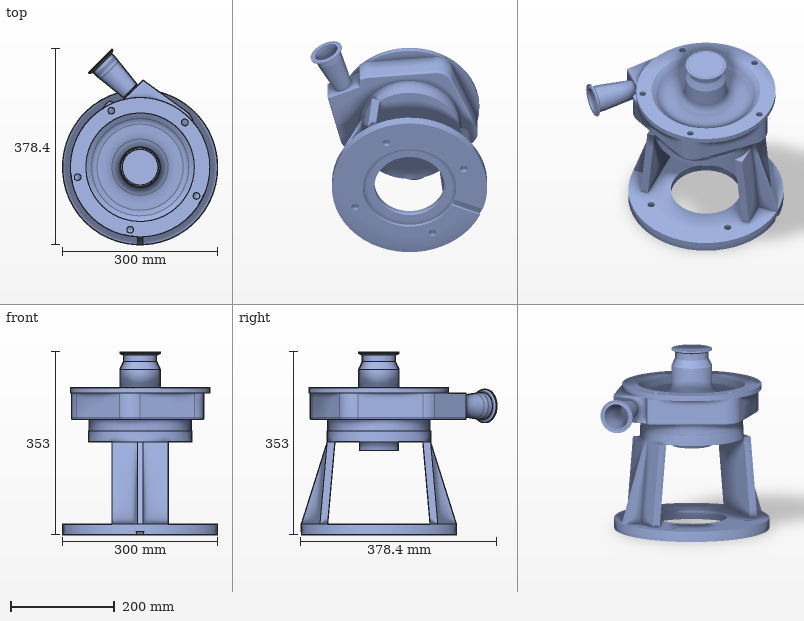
import cadquery as cq
import math

BASE_TOP = 20.5
HUB_BOTTOM = 162.7
RING_BOTTOM = 179.5
COLLAR_BOTTOM = 200.0
HOUSING_BOTTOM = 222.5
FLANGE_BOTTOM = 274.0
FLANGE_TOP = 284.0
INLET_SHOULDER = 319.7
INLET_NECK_BOTTOM = 335.0
INLET_TOP = 353.0

BASE_DIAMETER = 300.0
BASE_RADIUS = BASE_DIAMETER / 2
BASE_BORE_RADIUS = 67.7
BASE_HOLE_CIRCLE = 114.0
BASE_HOLE_RADIUS = 7.0
BASE_HOLE_COUNT = 4
BASE_HOLE_START_ANGLE = 45
RECESS_RADIUS = 90.0
RECESS_DEPTH = 6.5
NOTCH_WIDTH = 14.0

LEG_WIDTH = 109.0
LEG_THICKNESS = 15.0
LEG_TOP_REACH = 100.0
LEG_FOOT_REACH = 114.0
RIB_WIDTH = 11.0

HUB_RADIUS = 38.0
RING_RADIUS = 100.3
COLLAR_RADIUS = 99.0
FLANGE_RADIUS = 134.7
FLANGE_HOLE_CIRCLE = 122.2
FLANGE_HOLE_RADIUS = 6.5
FLANGE_HOLE_COUNT = 5
FLANGE_HOLE_START_ANGLE = 45

DISH_RADIUS = 104.8
DISH_DEPTH = 15.5
DISH_FILLET = 15.0
DISH_FLOOR_RADIUS = 83.2
DISH_WALL_ANGLE = 45

PENTAGON_APOTHEM = 115.0
PENTAGON_START_ANGLE = 9
PENTAGON_STEP_ANGLE = 72
CORNER_FILLET = 33.5
HOUSING_EDGE_FILLET = 3.8
SHOULDER_ANGLE = 54
SHOULDER_OFFSET = 139.5
LIP_ANGLE = 126
LIP_OFFSET = 138.0
LIP_END_ANGLE = 72
LIP_END_OFFSET = 103.3
OUTLET_ANGLE = 135

CLAMP_RIM = 2.5
CLAMP_BACK = 5.0
CLAMP_LENGTH = 6.0
CLAMP_BACK_STEP = 2.0
GROOVE_RADIUS = 1.32
GROOVE_INSET = 3.5

INLET_DIAMETER = 78.5
INLET_RADIUS = INLET_DIAMETER / 2
INLET_NECK_RADIUS = 32.0
INLET_ROOT_FILLET = 15.0

OUTLET_SIDE_OFFSET = 90.8
OUTLET_HEIGHT = 249.0
OUTLET_FACE_DISTANCE = 199.8
OUTLET_CLAMP_DIAMETER = 64.7
OUTLET_CLAMP_RADIUS = OUTLET_CLAMP_DIAMETER / 2
OUTLET_NECK_RADIUS = 25.7
OUTLET_NECK_LENGTH = 17.8
OUTLET_CONE_END = 82.0
OUTLET_END_RADIUS = 18.5
OUTLET_SPIGOT_RADIUS = 17.5
OUTLET_BORE_RADIUS = 24.2
OUTLET_BORE_STRAIGHT = 14.5
OUTLET_BORE_STEP_RADIUS = 23.0
OUTLET_BORE_CONE_START = 26.0
OUTLET_BORE_END_RADIUS = 16.3


def disc(radius, bottom, top):
    return cq.Workplane("XY").workplane(offset=bottom).circle(radius).extrude(top - bottom)


def line_crossing(first, second):
    """Crossing of two plan lines, each given as (normal angle in degrees, distance from the axis)."""
    a1, d1 = math.radians(first[0]), first[1]
    a2, d2 = math.radians(second[0]), second[1]
    det = math.sin(a2 - a1)
    x = (d1 * math.sin(a2) - d2 * math.sin(a1)) / det
    y = (d2 * math.cos(a1) - d1 * math.cos(a2)) / det
    return (x, y)


def base_plate():
    plate = disc(BASE_RADIUS, 0, BASE_TOP).cut(disc(BASE_BORE_RADIUS, 0, BASE_TOP))
    holes = (
        cq.Workplane("XY")
        .polarArray(BASE_HOLE_CIRCLE, BASE_HOLE_START_ANGLE, 360, BASE_HOLE_COUNT)
        .circle(BASE_HOLE_RADIUS)
        .extrude(BASE_TOP)
    )
    recess = disc(RECESS_RADIUS, 0, RECESS_DEPTH)
    notch = cq.Workplane("XY").box(
        NOTCH_WIDTH, BASE_RADIUS, RECESS_DEPTH, centered=(True, False, False)
    )
    return plate.cut(holes).cut(recess).cut(notch.translate((0, -BASE_RADIUS, 0)))


def leg():
    plate_section = [
        (LEG_FOOT_REACH - LEG_THICKNESS, BASE_TOP),
        (LEG_FOOT_REACH, BASE_TOP),
        (LEG_TOP_REACH, RING_BOTTOM),
        (LEG_TOP_REACH - LEG_THICKNESS, RING_BOTTOM),
    ]
    rib_section = [
        (LEG_FOOT_REACH - LEG_THICKNESS, BASE_TOP),
        (BASE_RADIUS, BASE_TOP),
        (LEG_TOP_REACH, RING_BOTTOM),
        (LEG_TOP_REACH - LEG_THICKNESS, RING_BOTTOM),
    ]
    plate = cq.Workplane("YZ").polyline(plate_section).close().extrude(LEG_WIDTH / 2, both=True)
    rib = cq.Workplane("YZ").polyline(rib_section).close().extrude(RIB_WIDTH / 2, both=True)
    return plate.union(rib)


def housing():
    east, west, southwest, southeast = (
        (PENTAGON_START_ANGLE + step * PENTAGON_STEP_ANGLE, PENTAGON_APOTHEM) for step in (0, 2, 3, 4)
    )
    shoulder = (SHOULDER_ANGLE, SHOULDER_OFFSET)
    outlet_face = (OUTLET_ANGLE, PENTAGON_APOTHEM)
    lip_end = (LIP_END_ANGLE, LIP_END_OFFSET)
    lip = (LIP_ANGLE, LIP_OFFSET)
    sides = [east, shoulder, outlet_face, lip_end, lip, west, southwest, southeast]
    next_sides = sides[1:] + sides[:1]
    corners = [line_crossing(side, next_side) for side, next_side in zip(sides, next_sides)]
    round_corners = [
        line_crossing(east, shoulder),
        line_crossing(lip, west),
        line_crossing(west, southwest),
        line_crossing(southwest, southeast),
        line_crossing(southeast, east),
    ]

    middle = (HOUSING_BOTTOM + FLANGE_BOTTOM) / 2
    body = (
        cq.Workplane("XY")
        .workplane(offset=HOUSING_BOTTOM)
        .polyline(corners)
        .close()
        .extrude(FLANGE_BOTTOM - HOUSING_BOTTOM)
    )
    for corner in round_corners:
        upright_edge = cq.selectors.NearestToPointSelector((*corner, middle))
        body = body.edges(upright_edge).fillet(CORNER_FILLET)

    face_start = line_crossing(shoulder, outlet_face)
    face_end = line_crossing(outlet_face, lip_end)
    face_middle = [(a + b) / 2 for a, b in zip(face_start, face_end)]
    outlet_edge = cq.selectors.NearestToPointSelector((*face_middle, HOUSING_BOTTOM))
    lower_edges = cq.selectors.StringSyntaxSelector("<Z")
    rounded_edges = cq.selectors.SubtractSelector(lower_edges, outlet_edge)
    return body.edges(rounded_edges).fillet(HOUSING_EDGE_FILLET)


def flange_ring():
    flange = disc(FLANGE_RADIUS, FLANGE_BOTTOM, FLANGE_TOP)
    holes = (
        cq.Workplane("XY")
        .workplane(offset=FLANGE_BOTTOM)
        .polarArray(FLANGE_HOLE_CIRCLE, FLANGE_HOLE_START_ANGLE, 360, FLANGE_HOLE_COUNT)
        .circle(FLANGE_HOLE_RADIUS)
        .extrude(FLANGE_TOP - FLANGE_BOTTOM)
    )
    return flange.cut(holes)


def dish():
    """Space removed around the inlet: sloping wall, rounded floor and rounded inlet root."""
    floor = FLANGE_TOP - DISH_DEPTH
    wall = math.radians(DISH_WALL_ANGLE)
    root_radius = INLET_RADIUS + INLET_ROOT_FILLET

    def floor_round(angle):
        return (
            DISH_FLOOR_RADIUS + DISH_FILLET * math.sin(angle),
            floor + DISH_FILLET * (1 - math.cos(angle)),
        )

    root_inset = INLET_ROOT_FILLET * math.sqrt(0.5)
    root_middle = (root_radius - root_inset, floor + INLET_ROOT_FILLET - root_inset)
    return (
        cq.Workplane("XZ")
        .moveTo(INLET_RADIUS, FLANGE_TOP)
        .lineTo(INLET_RADIUS, floor + INLET_ROOT_FILLET)
        .threePointArc(root_middle, (root_radius, floor))
        .lineTo(DISH_FLOOR_RADIUS, floor)
        .threePointArc(floor_round(wall / 2), floor_round(wall))
        .lineTo(DISH_RADIUS, FLANGE_TOP)
        .close()
        .revolve(360, (0, 0, 0), (0, 1, 0))
    )


def clamped_pipe(clamp_radius, neck_radius, body_profile):
    """Solid pipe along -Z from its clamp face at z = 0.

    body_profile continues the outline beyond the clamp as (radius, z) points.
    """
    back_radius = neck_radius + CLAMP_BACK_STEP
    profile = [
        (0, 0),
        (clamp_radius, 0),
        (clamp_radius, -CLAMP_RIM),
        (back_radius, -CLAMP_BACK),
        (neck_radius, -CLAMP_LENGTH),
        *body_profile,
        (0, body_profile[-1][1]),
    ]
    pipe = cq.Workplane("XZ").polyline(profile).close().revolve(360, (0, 0, 0), (0, 1, 0))
    groove = cq.Workplane("XY").add(
        cq.Solid.makeTorus(clamp_radius - GROOVE_INSET, GROOVE_RADIUS)
    )
    return pipe.cut(groove)


def inlet():
    shoulder = INLET_SHOULDER - INLET_TOP
    body_profile = [
        (INLET_NECK_RADIUS, INLET_NECK_BOTTOM - INLET_TOP),
        (INLET_RADIUS, shoulder),
        (INLET_RADIUS, FLANGE_TOP - DISH_DEPTH - INLET_TOP),
    ]
    pipe = clamped_pipe(INLET_RADIUS, INLET_NECK_RADIUS, body_profile)
    return pipe.translate((0, 0, INLET_TOP))


def outlet():
    length = OUTLET_FACE_DISTANCE - PENTAGON_APOTHEM
    body_profile = [
        (OUTLET_NECK_RADIUS, -OUTLET_NECK_LENGTH),
        (OUTLET_END_RADIUS, -OUTLET_CONE_END),
        (OUTLET_SPIGOT_RADIUS, -OUTLET_CONE_END),
        (OUTLET_SPIGOT_RADIUS, -length),
    ]
    bore_profile = [
        (0, 0),
        (OUTLET_BORE_RADIUS, 0),
        (OUTLET_BORE_RADIUS, -OUTLET_BORE_STRAIGHT),
        (OUTLET_BORE_STEP_RADIUS, -OUTLET_BORE_CONE_START),
        (OUTLET_BORE_END_RADIUS, -length),
        (0, -length),
    ]
    bore = cq.Workplane("XZ").polyline(bore_profile).close().revolve(360, (0, 0, 0), (0, 1, 0))
    pipe = clamped_pipe(OUTLET_CLAMP_RADIUS, OUTLET_NECK_RADIUS, body_profile).cut(bore)
    return (
        pipe.rotate((0, 0, 0), (0, 1, 0), 90)
        .translate((OUTLET_FACE_DISTANCE, -OUTLET_SIDE_OFFSET, OUTLET_HEIGHT))
        .rotate((0, 0, 0), (0, 0, 1), OUTLET_ANGLE)
    )


result = (
    base_plate()
    .union(leg())
    .union(leg().mirror("XZ"))
    .union(disc(HUB_RADIUS, HUB_BOTTOM, RING_BOTTOM))
    .union(disc(RING_RADIUS, RING_BOTTOM, COLLAR_BOTTOM))
    .union(disc(COLLAR_RADIUS, COLLAR_BOTTOM, HOUSING_BOTTOM))
    .union(housing())
    .union(flange_ring())
    .cut(dish())
    .union(inlet())
    .union(outlet())
)